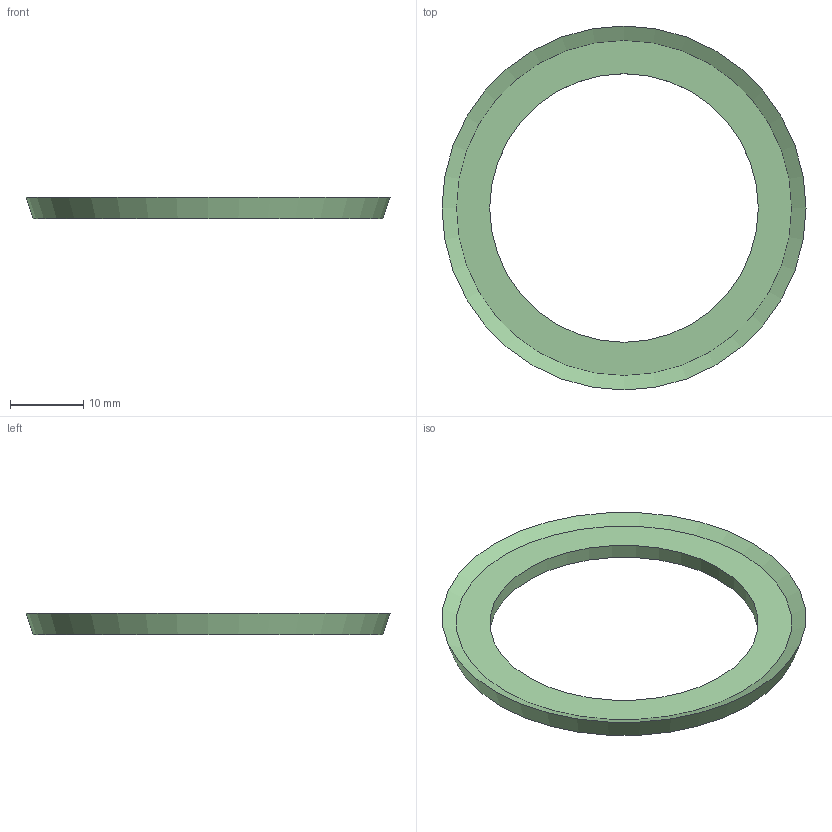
import cadquery as cq

rim_diameter = 49.6
base_diameter = 47.6
floor_diameter = 45.7
bore_diameter = 36.6
height = 2.91
floor_height = 2.0


def ring_section():
    """Half section of the ring in the XZ plane, with X as the radius."""
    return (
        cq.Workplane("XZ")
        .moveTo(bore_diameter / 2, 0)
        .lineTo(base_diameter / 2, 0)
        .lineTo(rim_diameter / 2, height)
        .lineTo(floor_diameter / 2, floor_height)
        .lineTo(bore_diameter / 2, floor_height)
        .close()
    )


result = ring_section().revolve(360, (0, 0, 0), (0, 1, 0))